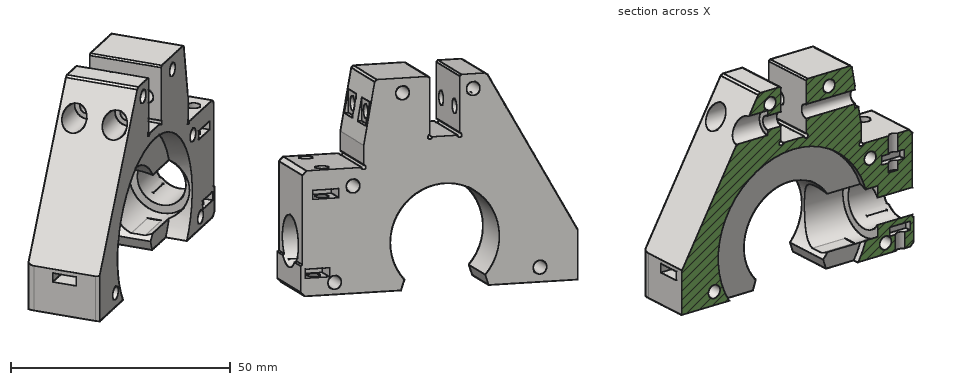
import cadquery as cq
import math


width = 17.69
length = 66.4
height = 49.25
x_left = -9.03
x_right = x_left + width
y_back = 34.4
y_front = y_back - length

back_ledge_depth = 0.4
back_ledge_height = 7.1
ledge_bevel = 0.3
back_chamfer = 1.0
shoulder_height = 29.1
tower_back_y = 19.35
tower_slope_start_z = 34.2
tower_top_back_y = 16.75
tower_chamfer = 0.5
clamp_slot_width = 7.1
clamp_slot_floor_z = 35.2
clamp_slot_chamfer = 0.4
relief_radius = 0.5
front_slope_angle = 60.0
front_wall_height = 11.1
front_bevel_drop = 0.4
front_bevel_run = 0.7
front_edge_radius = 3.6
front_flat_half_width = 7.62

bore_radius = 13.0
bore_axis_z = 11.22
bore_lip_z = 2.48
mouth_half_width = 10.46

recess_radius = 21.5
recess_floor_x = 3.45

socket_diameter = 16.0
socket_end_y = 24.0
back_hole_diameter = 12.0
socket_flat_width = 3.43
socket_flat_end_y = 19.8

cross_hole_diameter = 3.2
cross_hole_places = [(10.1, 45.8), (-6.77, 45.8), (21.9, 24.9), (26.3, 2.83), (-22.7, 3.43)]

clamp_screw_x = 5.0
clamp_screw_z = 41.2
clamp_screw_diameter = 3.4
clamp_head_diameter = 6.0
clamp_head_seat_y = -7.5
clamp_nut_width = 5.95
clamp_nut_height = 5.5
clamp_nut_seat_y = 17.6

vertical_screw_x = 6.0
vertical_screw_diameter = 3.2
nut_slot_inner_x = 3.5
upper_nut_y = 28.4
upper_nut_width = 6.2
upper_nut_floor_z = 22.4
upper_screw_end_z = 20.0
lower_nut_y = 30.4
lower_nut_width = 5.75
lower_nut_floor_z = 4.2
nut_slot_height = 2.1

front_nut_width = 5.75
front_nut_floor_z = 7.9
front_nut_height = 2.2
front_nut_depth = 8.0


def box(x_range, y_range, z_range):
    """Box between two limits on each axis."""
    size = [high - low for low, high in (x_range, y_range, z_range)]
    corner = (x_range[0], y_range[0], z_range[0])
    return cq.Workplane("XY").box(*size, centered=False).translate(corner)


def cylinder(axis, start, end, diameter):
    """Cylinder from point start along the given axis letter to the coordinate end."""
    index = "XYZ".index(axis)
    direction = [0, 0, 0]
    direction[index] = 1
    reach = end - start[index]
    return cq.Workplane(cq.Solid.makeCylinder(diameter / 2, reach, cq.Vector(*start), cq.Vector(*direction)))


def extrude_profile(points):
    """Extrude a closed (y, z) outline over the full width of the part."""
    return cq.Workplane("YZ", origin=(x_left, 0, 0)).polyline(points).close().extrude(width)


def make_body():
    back_wall_y = y_back - back_ledge_depth
    slot_half = clamp_slot_width / 2
    slope = math.tan(math.radians(front_slope_angle))
    bevel_z = height - front_bevel_drop
    bevel_y = y_front + (bevel_z - front_wall_height) / slope
    return extrude_profile([
        (y_front, 0),
        (y_back - back_chamfer, 0),
        (y_back, back_chamfer),
        (y_back, back_ledge_height),
        (back_wall_y, back_ledge_height + ledge_bevel),
        (back_wall_y, shoulder_height - back_chamfer),
        (back_wall_y - back_chamfer, shoulder_height),
        (tower_back_y, shoulder_height),
        (tower_back_y, tower_slope_start_z),
        (tower_top_back_y, height - tower_chamfer),
        (tower_top_back_y - tower_chamfer, height),
        (slot_half + clamp_slot_chamfer, height),
        (slot_half, height - clamp_slot_chamfer),
        (slot_half, clamp_slot_floor_z),
        (-slot_half, clamp_slot_floor_z),
        (-slot_half, height - clamp_slot_chamfer),
        (-slot_half - clamp_slot_chamfer, height),
        (bevel_y + front_bevel_run, height),
        (bevel_y, bevel_z),
        (y_front, front_wall_height),
    ])


def cut_corner_reliefs(body):
    """Small round reliefs along the inner corners of the clamp slot and the shoulder."""
    corners = [
        (tower_back_y, shoulder_height),
        (clamp_slot_width / 2, clamp_slot_floor_z),
        (-clamp_slot_width / 2, clamp_slot_floor_z),
    ]
    for y, z in corners:
        body = body.cut(cylinder("X", (x_left, y, z), x_right, 2 * relief_radius))
    return body


def round_front_edges(body):
    """Round the two upright front edges with arcs tangent to the front face."""
    for side, outer_x in ((-1, x_left), (1, x_right)):
        tangent_x = side * front_flat_half_width
        reach = abs(outer_x - tangent_x)
        depth = front_edge_radius - math.sqrt(front_edge_radius**2 - reach**2)
        mid_depth = front_edge_radius - math.sqrt(front_edge_radius**2 - (reach / 2) ** 2)
        corner = (
            cq.Workplane("XY")
            .moveTo(tangent_x, y_front)
            .threePointArc((tangent_x + side * reach / 2, y_front + mid_depth), (outer_x, y_front + depth))
            .lineTo(outer_x, y_front)
            .close()
            .extrude(height)
        )
        body = body.cut(corner)
    return body


def cut_bore(body):
    """Main bore with its flared mouth through the base."""
    lip_half = math.sqrt(bore_radius**2 - (bore_axis_z - bore_lip_z) ** 2)
    bore = cylinder("X", (x_left, 0, bore_axis_z), x_right, 2 * bore_radius)
    mouth = extrude_profile([
        (-mouth_half_width, 0),
        (mouth_half_width, 0),
        (lip_half, bore_lip_z),
        (-lip_half, bore_lip_z),
    ])
    return body.cut(bore).cut(mouth)


def cut_side_recess(body):
    """Wide recess around the bore axis, opening the right-hand side and the base beside it."""
    return body.cut(cylinder("X", (recess_floor_x, 0, bore_axis_z), x_right, 2 * recess_radius))


def cut_socket(body):
    """Socket with a narrow flat along its underside, and the smaller hole out through the back."""
    start = (0, 0, bore_axis_z)
    radius = socket_diameter / 2
    half = socket_flat_width / 2
    flat_z = bore_axis_z - math.sqrt(radius**2 - half**2)
    flat_fill = box((-half, half), (0, socket_flat_end_y), (bore_axis_z - radius, flat_z))
    socket = cylinder("Y", start, socket_end_y, socket_diameter).cut(flat_fill)
    back_hole = cylinder("Y", start, y_back, back_hole_diameter)
    return body.cut(socket).cut(back_hole)


def cut_cross_holes(body):
    for y, z in cross_hole_places:
        body = body.cut(cylinder("X", (x_left, y, z), x_right, cross_hole_diameter))
    return body


def cut_clamp_screws(body):
    """Two counterbored screws across the clamp slot, with nut pockets behind the tower."""
    half_width = clamp_nut_width / 2
    half_height = clamp_nut_height / 2
    for x in (-clamp_screw_x, clamp_screw_x):
        start = (x, y_front, clamp_screw_z)
        body = body.cut(cylinder("Y", start, tower_back_y, clamp_screw_diameter))
        body = body.cut(cylinder("Y", start, clamp_head_seat_y, clamp_head_diameter))
        body = body.cut(box(
            (x - half_width, x + half_width),
            (clamp_nut_seat_y, tower_back_y),
            (clamp_screw_z - half_height, clamp_screw_z + half_height),
        ))
    return body


def cut_nut_slot(body, x_range, nut_y, nut_width, floor_z):
    """Slot for a nut on a vertical screw, open to the side of the part."""
    half = nut_width / 2
    return body.cut(box(x_range, (nut_y - half, nut_y + half), (floor_z, floor_z + nut_slot_height)))


def cut_vertical_screws(body):
    """Screws into the shoulder from above and into the base from below, each with a side nut slot."""
    for x, x_range in (
        (-vertical_screw_x, (x_left, -nut_slot_inner_x)),
        (vertical_screw_x, (nut_slot_inner_x, x_right)),
    ):
        upper_start = (x, upper_nut_y, upper_screw_end_z)
        body = body.cut(cylinder("Z", upper_start, shoulder_height, vertical_screw_diameter))
        body = cut_nut_slot(body, x_range, upper_nut_y, upper_nut_width, upper_nut_floor_z)
        body = body.cut(cylinder("Z", (x, lower_nut_y, 0), lower_nut_floor_z, vertical_screw_diameter))
        body = cut_nut_slot(body, x_range, lower_nut_y, lower_nut_width, lower_nut_floor_z)
    return body


def cut_front_nut_slot(body):
    half = front_nut_width / 2
    return body.cut(box(
        (-half, half),
        (y_front, y_front + front_nut_depth),
        (front_nut_floor_z, front_nut_floor_z + front_nut_height),
    ))


body = make_body()
body = cut_corner_reliefs(body)
body = round_front_edges(body)
body = cut_bore(body)
body = cut_side_recess(body)
body = cut_socket(body)
body = cut_cross_holes(body)
body = cut_clamp_screws(body)
body = cut_vertical_screws(body)
result = cut_front_nut_slot(body)